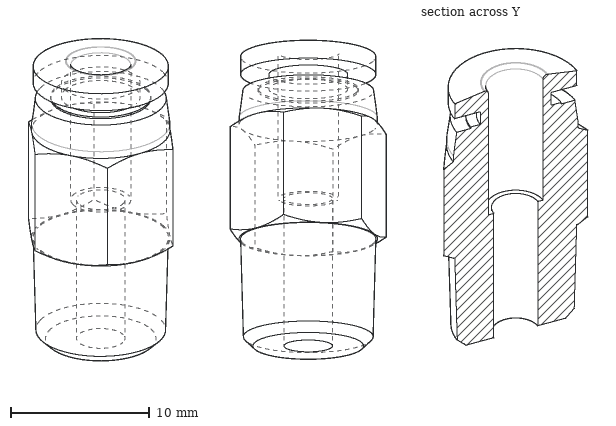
import cadquery as cq
import math

total_height = 21.95
hex_across_flats = 10.0
hex_across_corners = hex_across_flats / math.cos(math.radians(30))
hex_bottom = 7.97
hex_top = 16.48
hex_chamfer_angle = 30.0

thread_top_radius = 4.9
thread_end_radius = 4.7
tip_radius = 4.0
tip_height = 0.68

sleeve_radius = hex_across_flats / 2
sleeve_band_top = 17.01
sleeve_top_radius = 4.75
sleeve_top = 19.0
collar_radius = 3.62
collar_top = 19.15

neck_radius = 2.85
cap_radius = 4.9
cap_bottom = 20.22
cap_shoulder = 21.55
lip_radius = 2.55

tube_bore_radius = 2.17
mouth_fillet = 0.3
through_radius = 1.75
tube_stop_height = 10.98


def revolve_profile(points):
    """Revolve a closed (radius, height) outline about the Z axis."""
    return cq.Workplane("XZ").polyline(points).close().revolve(360, (0, 0), (0, 1))


def make_turned_body():
    """Threaded end, sleeve, neck and release button in one outline."""
    return revolve_profile([
        (0, 0),
        (tip_radius, 0),
        (thread_end_radius, tip_height),
        (thread_top_radius, hex_bottom),
        (sleeve_radius, hex_bottom),
        (sleeve_radius, sleeve_band_top),
        (sleeve_top_radius, sleeve_top),
        (collar_radius, sleeve_top),
        (collar_radius, collar_top),
        (neck_radius, collar_top),
        (neck_radius, cap_bottom),
        (cap_radius, cap_bottom),
        (cap_radius, cap_shoulder),
        (lip_radius, total_height),
        (0, total_height),
    ])


def make_hexagon():
    """Wrench hexagon with corners on X, chamfered conically at both ends."""
    corner_radius = hex_across_corners / 2
    flat_radius = hex_across_flats / 2
    drop = (corner_radius - flat_radius) * math.tan(math.radians(hex_chamfer_angle))
    prism = (
        cq.Workplane("XY")
        .workplane(offset=hex_bottom)
        .polygon(6, hex_across_corners)
        .extrude(hex_top - hex_bottom)
    )
    chamfer_envelope = revolve_profile([
        (0, hex_bottom),
        (flat_radius, hex_bottom),
        (corner_radius, hex_bottom + drop),
        (corner_radius, hex_top - drop),
        (flat_radius, hex_top),
        (0, hex_top),
    ])
    return prism.intersect(chamfer_envelope)


def make_passage():
    """Tube bore with a rounded mouth, narrowing to the through hole."""
    mouth_radius = tube_bore_radius + mouth_fillet
    fillet_start = total_height - mouth_fillet
    fillet_offset = mouth_fillet * math.sqrt(0.5)
    arc_middle = (mouth_radius - fillet_offset, fillet_start + fillet_offset)
    return (
        cq.Workplane("XZ")
        .moveTo(0, 0)
        .lineTo(through_radius, 0)
        .lineTo(through_radius, tube_stop_height)
        .lineTo(tube_bore_radius, tube_stop_height)
        .lineTo(tube_bore_radius, fillet_start)
        .threePointArc(arc_middle, (mouth_radius, total_height))
        .lineTo(0, total_height)
        .close()
        .revolve(360, (0, 0), (0, 1))
    )


result = make_turned_body().union(make_hexagon()).cut(make_passage())